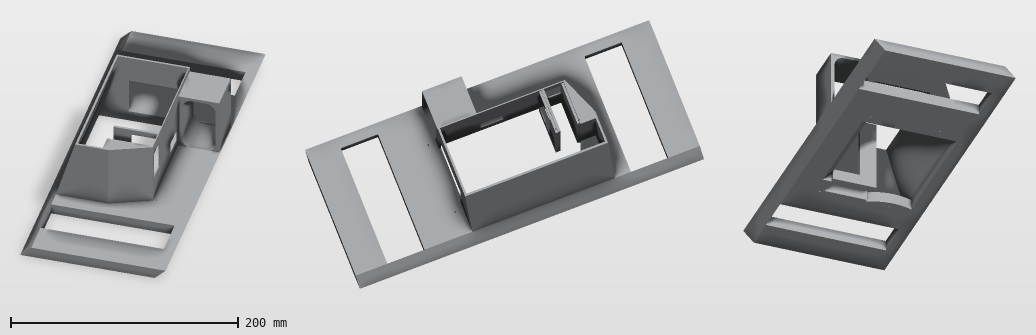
import cadquery as cq

length = 325.0
plate_height = 10.0
plate_width = 123.0
slot_right = plate_width
slot_width = 35.0
slot_offset = 115.0

total_height = 69.2
wall = 2.0
right_wall = 1.0
housing_left = plate_height
housing_top_left = 27.5
housing_right = 94.5
housing_back = 52.3
housing_front = -82.5
corner_x = 58.2
corner_y = -68.0
inner_right = housing_right - right_wall
relief_height = 8.0

block_left = 52.3
block_back = -66.3
lip_center_x = 30.0
lip_radius = 52.0
lip_back = -61.0

back_window_left = 39.0
back_window_right = 91.0
back_window_top = 44.2
side_window_front = -9.8
side_window_back = 12.0
side_window_bottom = 18.0
side_window_top = 30.5
front_window_back = -46.8
front_window_bottom = 32.5
front_window_top = 58.8

partition_left = 53.0
partition_front = -47.8
partition_top = 68.2
layer = 2.3
rear_layer_drop = 2.0
partition_window_left = 68.2
partition_window_top = 63.0
ledge_left = 54.0

side_box_right = 132.0
side_box_front = 15.0
side_box_top = 64.5
passage_margin = 3.2
passage_top = 61.5
passage_bottom = 9.0
passage_radius = 9.0

pilot_diameter = 1.3
pilot_columns = (32.2, 97.5)
pilot_rows = (59.8, -66.3)
partition_pilot_x = 56.5
pilot_depth = 6.5


def block(x_min, x_max, y_min, y_max, z_min, z_max):
    size = (x_max - x_min, y_max - y_min, z_max - z_min)
    return cq.Workplane("XY").box(*size, centered=False).translate((x_min, y_min, z_min))


def profile_along_y(points, y_min, y_max):
    """Extrude an XZ outline from y_min to y_max."""
    return cq.Workplane("XZ", origin=(0, y_max, 0)).polyline(points).close().extrude(y_max - y_min)


def make_plate():
    outline = [
        (0, 0),
        (plate_width, 0),
        (plate_width + plate_height, plate_height),
        (plate_height, plate_height),
    ]
    plate = profile_along_y(outline, -length / 2, length / 2)
    for center in (-slot_offset, slot_offset):
        plate = plate.cut(
            block(plate_height, slot_right, center - slot_width / 2, center + slot_width / 2, 0, plate_height)
        )
    return plate


def make_cavity():
    slope = (housing_top_left - housing_left) / (total_height - plate_height)
    inner_left = housing_left + wall
    outline = [
        (inner_left, 0),
        (inner_right, 0),
        (inner_right, total_height),
        (inner_left + slope * (total_height - plate_height), total_height),
        (inner_left, plate_height),
    ]
    cavity = profile_along_y(outline, housing_front + wall, housing_back - wall)
    corner_block = block(block_left, housing_right, housing_front, block_back, 0, total_height)
    floor = block(0, block_left, housing_front, block_back, 0, plate_height)
    lip = (
        cq.Workplane("XY")
        .center(lip_center_x, lip_back - lip_radius)
        .circle(lip_radius)
        .extrude(plate_height)
    )
    relief = profile_along_y(
        [(inner_right, 0), (inner_right + relief_height, 0), (inner_right, relief_height)],
        partition_front,
        housing_back - wall,
    )
    return cavity.union(relief).cut(corner_block).cut(floor).cut(lip)


def make_housing():
    outline = [
        (housing_left, plate_height),
        (housing_right, plate_height),
        (housing_right, total_height),
        (housing_top_left, total_height),
    ]
    body = profile_along_y(outline, housing_front, housing_back)
    corner = (
        cq.Workplane("XY")
        .polyline([(corner_x, housing_front), (housing_right, housing_front), (housing_right, corner_y)])
        .close()
        .extrude(total_height)
    )
    return body.cut(corner)


def make_windows():
    back = block(
        back_window_left, back_window_right, housing_back - wall, housing_back, plate_height, back_window_top
    )
    side = block(
        inner_right, housing_right, side_window_front, side_window_back, side_window_bottom, side_window_top
    )
    front = block(
        inner_right,
        housing_right,
        block_back + layer,
        front_window_back,
        front_window_bottom,
        front_window_top,
    )
    return back.add(side).add(front).combine()


def make_partition():
    middle = partition_front + layer
    back = middle + layer
    front_layer = block(partition_left, inner_right, partition_front, middle, 0, partition_top)
    rear_layer = block(partition_left, inner_right, middle, back, 0, partition_top - rear_layer_drop)
    opening = block(
        partition_window_left, inner_right, partition_front, back, plate_height, partition_window_top
    )
    ledge = block(ledge_left, inner_right, block_back, block_back + layer, 0, partition_top - rear_layer_drop)
    return front_layer.union(rear_layer).cut(opening).union(ledge)


def make_side_box():
    return block(housing_right, side_box_right, side_box_front, housing_back, plate_height, side_box_top)


def make_passage():
    """Rounded passage whose lowest stretch dips slightly into the plate."""
    passage = block(
        housing_right + passage_margin,
        side_box_right - passage_margin,
        side_box_front,
        housing_back,
        passage_bottom,
        passage_top,
    )
    return passage.edges("|Y").fillet(passage_radius)


def make_pilot(x, y, z_min, z_max):
    return cq.Workplane("XY", origin=(x, y, z_min)).circle(pilot_diameter / 2).extrude(z_max - z_min)


result = make_plate().union(make_housing()).cut(make_cavity()).cut(make_windows())
result = result.union(make_partition()).union(make_side_box()).cut(make_passage())
for pilot_x in pilot_columns:
    for pilot_y in pilot_rows:
        result = result.cut(make_pilot(pilot_x, pilot_y, 0, plate_height))
partition_pilot_y = partition_front + 1.5 * layer
for pilot_y in (partition_pilot_y, block_back):
    result = result.cut(make_pilot(partition_pilot_x, pilot_y, total_height - pilot_depth, total_height))